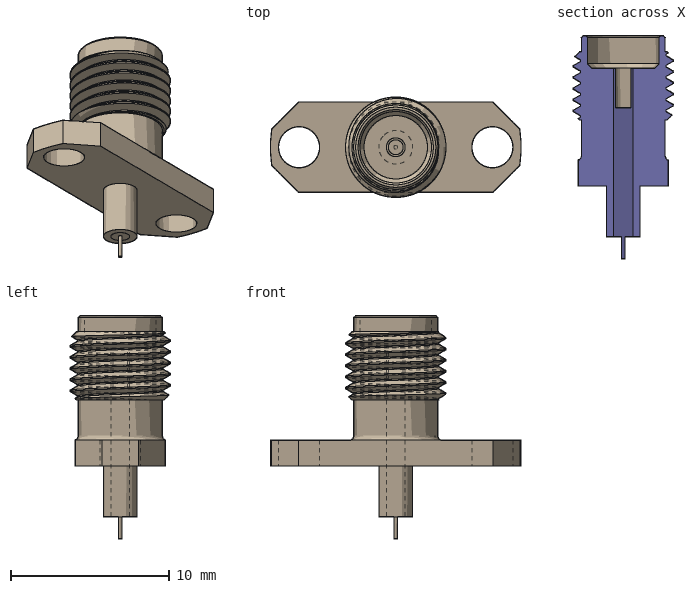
import cadquery as cq
import math


flange_length = 15.86
flange_width = 5.72
flange_thickness = 1.63
flange_chamfer = 1.79
mounting_hole_diameter = 2.58
mounting_hole_spacing = 12.22

barrel_diameter = 5.33
barrel_height = 7.88
barrel_rim_chamfer = 0.13
foot_radius = 0.27

thread_major_diameter = 6.35
thread_minor_diameter = 5.42
inch = 25.4
thread_pitch = inch / 36
thread_length = 4.32
thread_top = barrel_height - 1.02
thread_bottom = thread_top - thread_length
thread_end_diameter = 5.54
thread_crest_flat = thread_pitch / 8
thread_flank_angle = 30
crest_below_top = 0.39

bore_diameter = 4.52
bore_depth = 1.77
bore_mouth_diameter = 4.76
bore_mouth_depth = 0.12
floor_diameter = 4.01
floor_cone_height = 0.285
floor_level = barrel_height - bore_depth - floor_cone_height

stub_diameter = 2.13
stub_length = 3.21
stub_end = -flange_thickness - stub_length

contact_diameter = 1.19
socket_diameter = 0.94
socket_depth = 2.5
tail_diameter = 0.25
tail_length = 1.4


def cylinder(diameter, bottom, top):
    """Round bar on the Z axis between two levels."""
    return cq.Workplane("XY").workplane(offset=bottom).circle(diameter / 2).extrude(top - bottom)


def make_flange():
    """Plate with chamfered corners and ends rounded about the centre axis."""
    plate = (
        cq.Workplane("XY")
        .rect(flange_length, flange_width)
        .extrude(-flange_thickness)
        .edges("|Z")
        .chamfer(flange_chamfer)
    )
    plate = plate.intersect(cylinder(flange_length, -flange_thickness, 0))
    holes = (
        cq.Workplane("XY")
        .rarray(mounting_hole_spacing, 1, 2, 1)
        .circle(mounting_hole_diameter / 2)
        .extrude(-flange_thickness)
    )
    return plate.cut(holes)


def make_foot():
    """Concave flare at the barrel's foot, trimmed by the long sides of the flange."""
    radius = barrel_diameter / 2
    arc_offset = foot_radius * (1 - math.sqrt(0.5))
    flare = (
        cq.Workplane("XZ")
        .lineTo(radius + foot_radius, 0)
        .threePointArc((radius + arc_offset, arc_offset), (radius, foot_radius))
        .lineTo(0, foot_radius)
        .close()
        .revolve(360, (0, 0, 0), (0, 1, 0))
    )
    trim = cq.Workplane("XY").rect(flange_length, flange_width).extrude(foot_radius)
    return flare.intersect(trim)


def make_thread():
    """Sleeve with chamfered ends and a right-hand helical groove that runs out at both ends."""
    envelope = cylinder(thread_major_diameter, thread_bottom, thread_top)
    envelope = envelope.edges().chamfer((thread_major_diameter - thread_end_diameter) / 2)

    flank_slope = math.tan(math.radians(thread_flank_angle))
    minor_radius = thread_minor_diameter / 2
    extra_turns = 4
    clearance = 0.03
    outer_radius = thread_major_diameter / 2 + clearance
    outer_half = (thread_pitch - thread_crest_flat) / 2 + clearance * flank_slope
    root_half = outer_half - (outer_radius - minor_radius) * flank_slope

    groove_end = thread_top - crest_below_top + thread_pitch + thread_pitch / 2
    turns = math.ceil(thread_length / thread_pitch) + extra_turns
    start = groove_end - turns * thread_pitch
    helix = cq.Wire.makeHelix(thread_pitch, turns * thread_pitch, minor_radius)
    groove = (
        cq.Workplane("XZ")
        .polyline([
            (minor_radius, -root_half),
            (outer_radius, -outer_half),
            (outer_radius, outer_half),
            (minor_radius, root_half),
        ])
        .close()
        .sweep(cq.Workplane(obj=helix), isFrenet=True)
        .translate((0, 0, start))
    )
    blank = cylinder(
        thread_major_diameter,
        start - thread_pitch,
        start + (turns + 1) * thread_pitch,
    )
    return blank.cut(groove).intersect(envelope)


def make_bore():
    """Recess with a chamfered mouth and a cone that narrows to the flat floor."""
    bore_radius = bore_diameter / 2
    return (
        cq.Workplane("XZ")
        .moveTo(0, floor_level)
        .lineTo(floor_diameter / 2, floor_level)
        .lineTo(bore_radius, floor_level + floor_cone_height)
        .lineTo(bore_radius, barrel_height - bore_mouth_depth)
        .lineTo(bore_mouth_diameter / 2, barrel_height)
        .lineTo(0, barrel_height)
        .close()
        .revolve(360, (0, 0, 0), (0, 1, 0))
    )


def make_housing():
    """Flange, threaded barrel and stub in one piece, bored out for the contact."""
    barrel = cylinder(barrel_diameter, 0, barrel_height).faces(">Z").chamfer(barrel_rim_chamfer)
    stub = cylinder(stub_diameter, stub_end, -flange_thickness)
    housing = make_flange().union(barrel).union(make_foot()).union(stub).union(make_thread())
    contact_hole = cylinder(contact_diameter, stub_end, floor_level)
    return housing.cut(make_bore()).cut(contact_hole)


def make_contact():
    """Pin flush with the bore floor, with a socket on top and a thin tail below the stub."""
    pin = cylinder(contact_diameter, stub_end, floor_level)
    socket = cylinder(socket_diameter, floor_level - socket_depth, floor_level)
    tail = cylinder(tail_diameter, stub_end - tail_length, stub_end)
    return pin.cut(socket).union(tail)


housing = make_housing()
contact = make_contact()

result = cq.Compound.makeCompound([housing.solids().val(), contact.solids().val()])